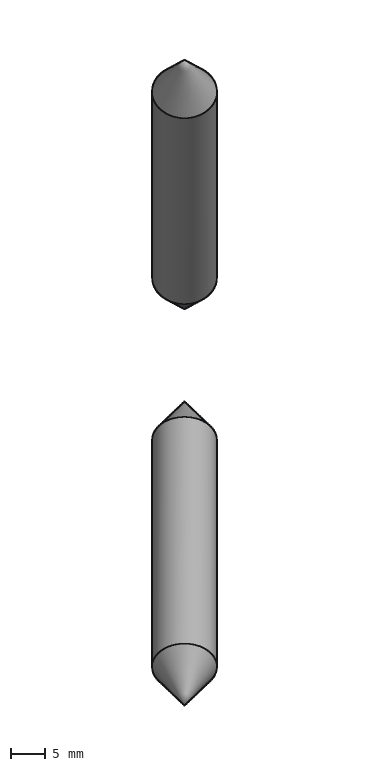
import cadquery as cq

total_length = 63.5
body_length = 47.3
diameter = 9.5

radius = diameter / 2
half_length = total_length / 2
shoulder_height = body_length / 2

half_profile = [
    (0, -half_length),
    (radius, -shoulder_height),
    (radius, shoulder_height),
    (0, half_length),
]

result = (
    cq.Workplane("XZ")
    .polyline(half_profile)
    .close()
    .revolve(360, (0, 0, 0), (0, 1, 0))
)